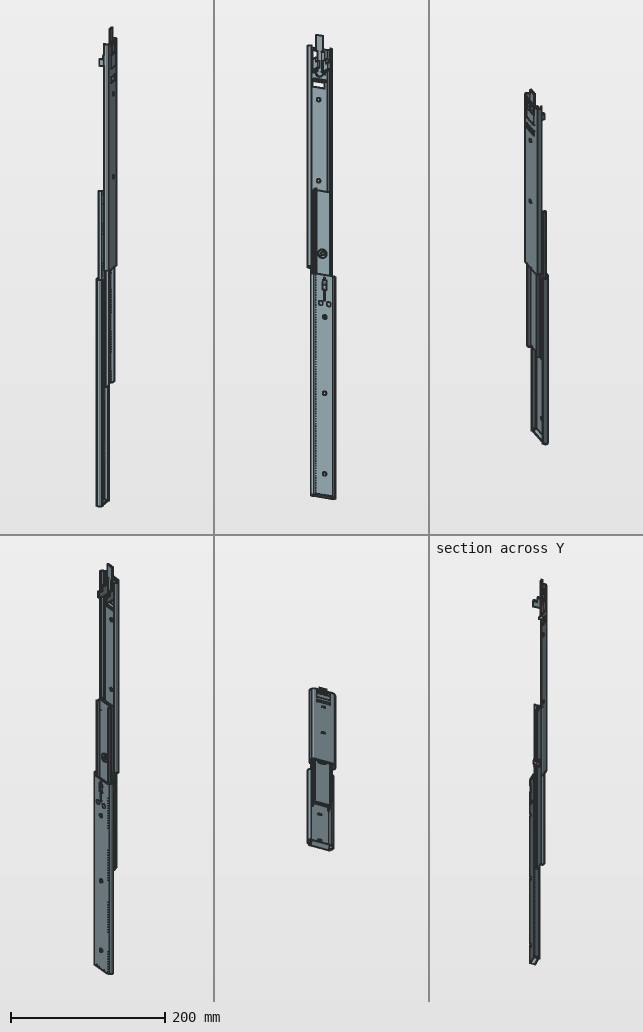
import cadquery as cq


TOTAL_WIDTH = 19.0
TOTAL_DEPTH = 35.0
TOTAL_LENGTH = 641.0
SHEET = 1.6

RAIL_LENGTH = 305.0
RAIL_OUT = TOTAL_WIDTH / 2
RAIL_WEB_IN = RAIL_OUT - SHEET
WEB = (RAIL_WEB_IN, RAIL_OUT)
SHOULDER_Y = 12.0
RACE_X = RAIL_OUT / 2
RACE_CHORD = 6.5
RACE_Y = 15.5
RACE_INSET = 0.7
LIP_X = 0.5
LIP_Y = 13.5
UPPER_RAIL_Z = 318.5
SCREW_HOLE_DIAMETER = 5.0
UPPER_SCREW_HEIGHTS = (441.0, 553.0)
LOWER_SCREW_HEIGHTS = (30.0, 141.5)

MIDDLE_BOTTOM = 160.0
MIDDLE_LENGTH = 263.5
MIDDLE_DEPTH = 7.0
MIDDLE_HALF_WIDTH = 12.0
MIDDLE_BEND = 2.5
MIDDLE_RACE_SINK = 0.5
MIDDLE_CHAMFER = 2.5

RIVET_Z = 336.5
RIVET_DIAMETER = 5.0
RIVET_HEAD_DIAMETER = 11.5
RIVET_HEAD_HEIGHT = 2.0
RIVET_SHANK_REACH = 1.0

LATCH_OPENING_WIDTH = 18.0
LATCH_OPENING_BOTTOM = 589.0
LATCH_OPENING_TOP = 620.5
STOP_WINDOW_BOTTOM = 570.0
STOP_WINDOW_TOP = 579.5
STOP_TAB_REACH = 5.0

LEVER_WIDTH = 9.5
LEVER_STEM_WIDTH = 6.0
LEVER_THICKNESS = 2.0
LEVER_IN = 5.0
LEVER_SHOULDER_Z = 619.0
LEVER_HEAD_Z = 591.0
LEVER_BOTTOM = 584.0

LATCH_TOP = 607.0
LATCH_POST_TOP = 600.5
LATCH_POST_BOTTOM = 591.5
LATCH_POST_WIDTH = 3.0
LATCH_STEP_X = -1.0
LATCH_POST_X = -7.0

KEY_SLOT_WIDTH = 2.0
KEY_SLOT_BOTTOM = 270.0
KEY_SLOT_TOP = 301.0
KEY_WINDOW_WIDTH = 6.0
KEY_WINDOW_BOTTOM = 284.5
KEY_WINDOW_TOP = 298.0
KEY_RAMP_BOTTOM = 291.5
END_STOP_X = 2.0
DIMPLE_Y = 6.0
DIMPLE_Z = 265.5
DIMPLE_DIAMETER = 6.5
DIMPLE_DEPTH = 1.0
PILOT_Z = 247.0
PILOT_DIAMETER = 2.5
PILOT_COUNTERSINK = 6.0


def box(x_range, y_range, z_range):
    """Block between the given limits along X, Y and Z."""
    limits = (x_range, y_range, z_range)
    lengths = [high - low for low, high in limits]
    corner = tuple(low for low, high in limits)
    return cq.Workplane("XY").box(*lengths, centered=False).translate(corner)


def centred_box(x_range, width, z_range):
    """Block that is symmetric about the XZ plane."""
    return box(x_range, (-width / 2, width / 2), z_range)


def rod(x_range, diameter, y, z):
    """Cylinder along X."""
    start, end = x_range
    return cq.Workplane("YZ", origin=(start, y, z)).circle(diameter / 2).extrude(end - start)


def mirror_x(body):
    return body.mirror("YZ")


def plain_rail(bottom):
    """Rail on the +X side: flat web, rounded shoulders, arched ball races and short lips."""
    web_edge, web_edge_in = (RAIL_OUT, SHOULDER_Y), (RAIL_WEB_IN, SHOULDER_Y)
    crown, crown_in = (RACE_X, TOTAL_DEPTH / 2), (RACE_X, TOTAL_DEPTH / 2 - SHEET)
    half_chord = RACE_CHORD / 2
    half_chord_in = half_chord - SHEET * RACE_INSET
    race_y_in = RACE_Y - SHEET * RACE_INSET
    half = (
        cq.Workplane("XY", origin=(0, 0, bottom))
        .moveTo(RAIL_OUT, 0)
        .lineTo(*web_edge)
        .tangentArcPoint((RACE_X + half_chord, RACE_Y), relative=False)
        .threePointArc(crown, (RACE_X - half_chord, RACE_Y))
        .lineTo(LIP_X, LIP_Y)
        .lineTo(LIP_X + SHEET, LIP_Y)
        .lineTo(RACE_X - half_chord_in, race_y_in)
        .threePointArc(crown_in, (RACE_X + half_chord_in, race_y_in))
        .lineTo(*web_edge_in)
        .lineTo(RAIL_WEB_IN, 0)
        .close()
        .extrude(RAIL_LENGTH)
    )
    return half.union(half.mirror("XZ"))


def drill_screw_holes(rail, heights):
    for z in heights:
        rail = rail.cut(rod(WEB, SCREW_HOLE_DIAMETER, 0, z))
    return rail


def make_upper_rail():
    rail = drill_screw_holes(plain_rail(UPPER_RAIL_Z), UPPER_SCREW_HEIGHTS)
    opening = centred_box(WEB, LATCH_OPENING_WIDTH, (LATCH_OPENING_BOTTOM, LATCH_OPENING_TOP))
    window = centred_box(WEB, LATCH_OPENING_WIDTH, (STOP_WINDOW_BOTTOM, STOP_WINDOW_TOP))
    tab = centred_box(
        (RAIL_WEB_IN - STOP_TAB_REACH, RAIL_OUT),
        LATCH_OPENING_WIDTH,
        (STOP_WINDOW_TOP - SHEET, STOP_WINDOW_TOP),
    )
    return rail.cut(opening).cut(window).union(tab)


def make_lower_rail():
    """Lower rail, worked on the +X side and then mirrored to -X."""
    rail = drill_screw_holes(plain_rail(0), LOWER_SCREW_HEIGHTS)
    rail = rail.cut(centred_box(WEB, KEY_SLOT_WIDTH, (KEY_SLOT_BOTTOM, KEY_SLOT_TOP)))
    rail = rail.cut(centred_box(WEB, KEY_WINDOW_WIDTH, (KEY_WINDOW_BOTTOM, KEY_WINDOW_TOP)))
    ramp = (
        cq.Workplane("XZ", origin=(0, KEY_WINDOW_WIDTH / 2, 0))
        .moveTo(RAIL_WEB_IN, KEY_WINDOW_TOP)
        .lineTo(RAIL_OUT, KEY_WINDOW_TOP)
        .lineTo(RAIL_WEB_IN, KEY_RAMP_BOTTOM)
        .close()
        .extrude(KEY_WINDOW_WIDTH)
    )
    ball_radius = ((DIMPLE_DIAMETER / 2) ** 2 + DIMPLE_DEPTH**2) / (2 * DIMPLE_DEPTH)
    ball_x = RAIL_OUT - DIMPLE_DEPTH + ball_radius
    for y in (-DIMPLE_Y, DIMPLE_Y):
        ball = cq.Workplane("XY").sphere(ball_radius).translate((ball_x, y, DIMPLE_Z))
        rail = rail.cut(ball)
    pilot = cq.Solid.makeCone(
        PILOT_DIAMETER / 2,
        PILOT_COUNTERSINK / 2,
        SHEET,
        pnt=cq.Vector(RAIL_WEB_IN, 0, PILOT_Z),
        dir=cq.Vector(1, 0, 0),
    )
    end_stop = centred_box((END_STOP_X, RAIL_OUT), 2 * SHOULDER_Y, (0, SHEET))
    return mirror_x(rail.cut(cq.Workplane(pilot)).union(ramp).union(end_stop))


def make_middle():
    """Channel on the +X side: web at X = 0, flanges grooved outside for the balls."""
    race_mid = (MIDDLE_BEND + MIDDLE_DEPTH) / 2
    y_out = MIDDLE_HALF_WIDTH
    y_in = y_out - SHEET
    half = (
        cq.Workplane("XY", origin=(0, 0, MIDDLE_BOTTOM))
        .lineTo(0, y_out - MIDDLE_BEND)
        .radiusArc((MIDDLE_BEND, y_out), MIDDLE_BEND)
        .threePointArc((race_mid, y_out - MIDDLE_RACE_SINK), (MIDDLE_DEPTH, y_out))
        .lineTo(MIDDLE_DEPTH, y_in)
        .threePointArc((race_mid, y_in - MIDDLE_RACE_SINK), (MIDDLE_BEND, y_in))
        .radiusArc((SHEET, y_out - MIDDLE_BEND), -(MIDDLE_BEND - SHEET))
        .lineTo(SHEET, 0)
        .close()
        .extrude(MIDDLE_LENGTH)
    )
    corner = (
        cq.Workplane("XZ", origin=(0, TOTAL_DEPTH / 2, 0))
        .moveTo(MIDDLE_DEPTH, MIDDLE_BOTTOM)
        .lineTo(MIDDLE_DEPTH - MIDDLE_CHAMFER, MIDDLE_BOTTOM)
        .lineTo(MIDDLE_DEPTH, MIDDLE_BOTTOM + MIDDLE_CHAMFER)
        .close()
        .extrude(TOTAL_DEPTH)
    )
    hole = rod((0, SHEET), RIVET_DIAMETER, 0, RIVET_Z)
    return half.union(half.mirror("XZ")).cut(corner).cut(hole)


def make_rivet():
    head_end = SHEET + RIVET_HEAD_HEIGHT
    shank_end = head_end + RIVET_SHANK_REACH
    rivet = rod((-shank_end, shank_end), RIVET_DIAMETER, 0, RIVET_Z)
    for start, end in ((-head_end, -SHEET), (SHEET, head_end)):
        rivet = rivet.union(rod((start, end), RIVET_HEAD_DIAMETER, 0, RIVET_Z))
    return rivet


def make_lever():
    """Flat tongue with a narrow stem and a round-ended head."""
    x_range = (LEVER_IN, LEVER_IN + LEVER_THICKNESS)
    head_centre = LEVER_BOTTOM + LEVER_WIDTH / 2
    tongue = centred_box(x_range, LEVER_WIDTH, (LEVER_SHOULDER_Z, TOTAL_LENGTH))
    stem = centred_box(x_range, LEVER_STEM_WIDTH, (head_centre, LEVER_SHOULDER_Z))
    head = centred_box(x_range, LEVER_WIDTH, (head_centre, LEVER_HEAD_Z))
    round_end = rod(x_range, LEVER_WIDTH, 0, head_centre)
    round_end = round_end.intersect(centred_box(x_range, LEVER_WIDTH, (LEVER_BOTTOM, LEVER_HEAD_Z)))
    return tongue.union(stem).union(head).union(round_end)


def make_latch():
    """Block set in the latch opening, with a stepped post on each side of the lever stem."""
    back = LEVER_IN + LEVER_THICKNESS
    half_width = LATCH_OPENING_WIDTH / 2
    latch = centred_box((back, RAIL_OUT), LATCH_OPENING_WIDTH, (LATCH_OPENING_BOTTOM, LATCH_TOP))
    for y_range in (
        (-half_width, -half_width + LATCH_POST_WIDTH),
        (half_width - LATCH_POST_WIDTH, half_width),
    ):
        step = box((LATCH_STEP_X, back), y_range, (LATCH_POST_BOTTOM, LATCH_TOP))
        post = box((LATCH_POST_X, back), y_range, (LATCH_POST_BOTTOM, LATCH_POST_TOP))
        latch = latch.union(step).union(post)
    return latch


upper_rail = make_upper_rail()
lower_rail = make_lower_rail()
right_middle = make_middle()
left_middle = mirror_x(right_middle)
rivet = make_rivet()
lever = make_lever()
latch = make_latch()

bodies = (upper_rail, lower_rail, right_middle, left_middle, rivet, lever, latch)
result = cq.Compound.makeCompound([body.solids().val() for body in bodies])